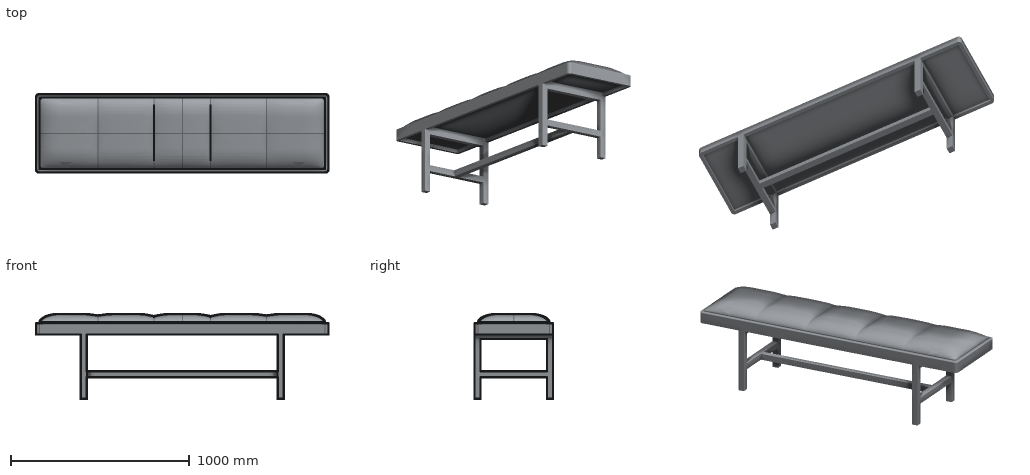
import cadquery as cq
import math

FRAME_LENGTH = 1640.0
FRAME_WIDTH = 440.0
FRAME_WALL = 20.0
FRAME_BOTTOM = 360.0
FRAME_TOP = 425.0
FRAME_EDGE_RADIUS = 5.0
INNER_LENGTH = FRAME_LENGTH - 2 * FRAME_WALL
INNER_WIDTH = FRAME_WIDTH - 2 * FRAME_WALL

BAR = 35.0
LEG_TOP = 380.0
LEG_CENTER_X = 552.5
LEG_CENTER_Y = (FRAME_WIDTH - BAR) / 2
LOW_RAIL_BOTTOM = 120.0
TOP_RAIL_BOTTOM = 335.0

PANEL_TOP = 400.0

CUSHION_RIM = 430.0
CUSHION_TOP = 476.91
CUSHION_RISE = CUSHION_TOP - CUSHION_RIM
CUSHION_CORNER_RADIUS = 15.0
SHOULDER = 112.0
OVERHANG = 1.0
FOOT = PANEL_TOP - 20.0
SEAM_REACH = 100.0
INNER_SEAM_X = 157.5
INNER_SEAM_DEPTH = 13.0
OUTER_SEAM_X = 3 * INNER_SEAM_X
OUTER_SEAM_DEPTH = 9.0

SHOULDER_STEPS = 9
PANEL_STEPS = 6
FLAT_STEPS = 3


def box(length, width, bottom, top, x=0.0, y=0.0):
    """Upright block centred on (x, y) between two heights."""
    base = cq.Workplane("XY", origin=(x, y, bottom))
    return base.rect(length, width).extrude(top - bottom)


def make_frame():
    rim = box(FRAME_LENGTH, FRAME_WIDTH, FRAME_BOTTOM, FRAME_TOP)
    rim = rim.edges("|Z").fillet(FRAME_WALL)
    rim = rim.faces(">Z").edges().fillet(FRAME_EDGE_RADIUS)
    return rim.cut(box(INNER_LENGTH, INNER_WIDTH, FRAME_BOTTOM, FRAME_TOP))


def make_panel():
    return box(INNER_LENGTH, INNER_WIDTH, LEG_TOP, PANEL_TOP)


def make_leg_pair(x):
    """Two legs joined by a low rail and by a top rail under the panel."""
    rail_length = 2 * LEG_CENTER_Y - BAR
    pair = box(BAR, rail_length, LOW_RAIL_BOTTOM, LOW_RAIL_BOTTOM + BAR, x)
    pair = pair.union(box(BAR, rail_length, TOP_RAIL_BOTTOM, LEG_TOP, x))
    for y in (-LEG_CENTER_Y, LEG_CENTER_Y):
        pair = pair.union(box(BAR, BAR, 0.0, LEG_TOP, x, y))
    return pair


def make_stretcher():
    length = 2 * LEG_CENTER_X - BAR
    return box(length, BAR, LOW_RAIL_BOTTOM, LOW_RAIL_BOTTOM + BAR)


def ellipse_height(run):
    """Height on a unit quarter ellipse, at a run from its upright start."""
    remaining = 1 - min(run / (SHOULDER + OVERHANG), 1.0)
    return math.sqrt(1 - remaining**2)


def shoulder_height(inset):
    """Share of the full rise at a distance in from the cushion side, zero at the side."""
    side_height = ellipse_height(OVERHANG)
    return (ellipse_height(inset + OVERHANG) - side_height) / (1 - side_height)


def crest_rise(x):
    """Rise of the dome along its centre line, sunk at the quilting seams."""
    rise = CUSHION_RISE * shoulder_height(INNER_LENGTH / 2 - abs(x))
    for seam, depth in ((INNER_SEAM_X, INNER_SEAM_DEPTH), (OUTER_SEAM_X, OUTER_SEAM_DEPTH)):
        closeness = max(1 - abs(abs(x) - seam) / SEAM_REACH, 0.0)
        rise -= depth * closeness**2
    return rise


def shoulder_insets():
    """Distances from the side, closer together where the shoulder is steep."""
    angles = [math.pi / 2 * i / SHOULDER_STEPS for i in range(SHOULDER_STEPS + 1)]
    return [(SHOULDER + OVERHANG) * (1 - math.cos(angle)) - OVERHANG for angle in angles]


def cushion_section(x):
    """Closed cross-section of the cushion at x, with its arch split at the middle seam."""
    half = INNER_WIDTH / 2
    rise = crest_rise(x)
    flat_step = (half - SHOULDER) / FLAT_STEPS
    insets = shoulder_insets() + [SHOULDER + flat_step * (i + 1) for i in range(FLAT_STEPS)]
    left = [cq.Vector(x, inset - half, CUSHION_RIM + rise * shoulder_height(inset)) for inset in insets]
    right = [cq.Vector(x, -p.y, p.z) for p in reversed(left)]
    foot_left = cq.Vector(x, left[0].y, FOOT)
    foot_right = cq.Vector(x, right[-1].y, FOOT)
    edges = [
        cq.Edge.makeLine(foot_left, left[0]),
        cq.Edge.makeSpline(left),
        cq.Edge.makeSpline(right),
        cq.Edge.makeLine(right[-1], foot_right),
        cq.Edge.makeLine(foot_right, foot_left),
    ]
    return cq.Wire.assembleEdges(edges)


def even_stations(start, end):
    """Evenly spaced positions from start to end, both included."""
    return [start + (end - start) * i / PANEL_STEPS for i in range(PANEL_STEPS + 1)]


def make_cushion_block():
    """Round-cornered block that trims the sides of the quilted top."""
    block = box(INNER_LENGTH, INNER_WIDTH, PANEL_TOP, CUSHION_TOP + CUSHION_RISE)
    return block.edges("|Z").fillet(CUSHION_CORNER_RADIUS)


def make_cushion():
    """Quilted panels lofted one after another between the cross seams."""
    end = INNER_LENGTH / 2
    end_stations = [end - inset for inset in reversed(shoulder_insets())]
    end_panel = even_stations(OUTER_SEAM_X, end_stations[0])[:-1] + end_stations
    half_panels = [
        even_stations(0.0, INNER_SEAM_X),
        even_stations(INNER_SEAM_X, OUTER_SEAM_X),
        end_panel,
    ]
    panels = []
    for stations in half_panels:
        for side in (1, -1):
            sections = [cushion_section(side * x) for x in stations]
            panels.append(cq.Solid.makeLoft(sections))
    quilt = cq.Workplane(panels[0].fuse(*panels[1:]))
    return quilt.intersect(make_cushion_block())


result = make_frame().union(make_panel())
result = result.union(make_cushion())
for leg_x in (-LEG_CENTER_X, LEG_CENTER_X):
    result = result.union(make_leg_pair(leg_x))
result = result.union(make_stretcher())